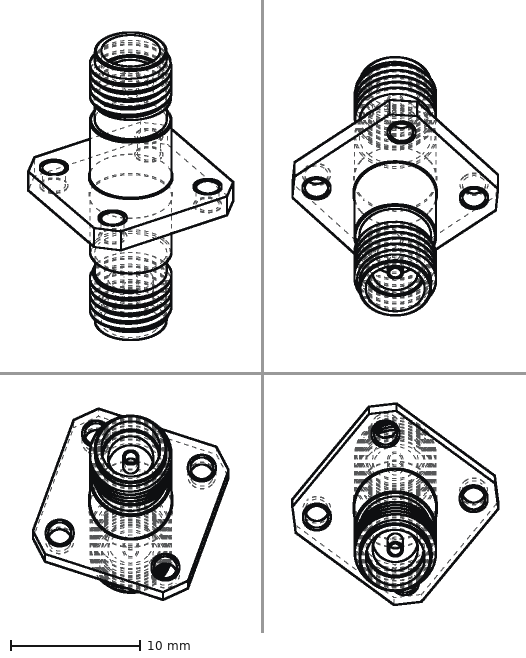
import cadquery as cq
import math

total_length = 24.82
end_z = total_length / 2

flange_width = 12.7
flange_thickness = 1.74
corner_cut = 1.51
hole_spacing = 8.65
hole_diameter = 1.79
hole_rim_diameter = 2.18
hole_rim_depth = 0.07

barrel_radius = 6.35 / 2
barrel_length = 12.15
neck_radius = 5.58 / 2
edge_chamfer = 0.1
flange_weld = 0.07

thread_pitch = 0.707
thread_low_z = 7.82
thread_high_z = 11.62
thread_lead_in = 0.3
thread_flank_angle = 30.0
crest_width = 0.09
crest_z = 11.05
root_overlap = 0.05

socket_radius = 4.57 / 2
socket_depth = 1.94
socket_floor_chamfer = 0.1
cavity_radius = 3.5 / 2
cavity_depth = 1.99
pin_radius = 1.2 / 2
pin_bore_radius = 0.95 / 2
pin_bore_depth = 1.5


def make_flange():
    """Square plate with cut corners and four holes recessed on both faces."""
    plate = cq.Workplane("XY").box(flange_width, flange_width, flange_thickness)
    plate = plate.edges("|Z").chamfer(corner_cut)
    for face in (">Z", "<Z"):
        plate = (
            plate.faces(face)
            .workplane(origin=(0, 0, 0))
            .rect(hole_spacing, hole_spacing, forConstruction=True)
            .vertices()
            .cboreHole(hole_diameter, hole_rim_diameter, hole_rim_depth)
        )
    return plate


def make_half_body():
    """Upper half of the solid turned body, from the middle of the flange up."""
    flange_top = flange_thickness / 2
    barrel_top = barrel_length / 2
    return (
        cq.Workplane("XZ")
        .moveTo(0, 0)
        .lineTo(barrel_radius + flange_weld, 0)
        .lineTo(barrel_radius + flange_weld, flange_top)
        .lineTo(barrel_radius, flange_top + flange_weld)
        .lineTo(barrel_radius, barrel_top - edge_chamfer)
        .lineTo(barrel_radius - edge_chamfer, barrel_top)
        .lineTo(neck_radius, barrel_top)
        .lineTo(neck_radius, end_z - edge_chamfer)
        .lineTo(neck_radius - edge_chamfer, end_z)
        .lineTo(0, end_z)
        .close()
        .revolve(360, (0, 0, 0), (0, 1, 0))
    )


def make_thread():
    """Right-hand helical ridge, trimmed to the thread length with tapered ends."""
    inner_radius = neck_radius - root_overlap
    half_crest = crest_width / 2
    half_root = half_crest + (barrel_radius - inner_radius) * math.tan(math.radians(thread_flank_angle))

    turns_below = math.ceil((crest_z - thread_low_z) / thread_pitch) + 1
    start_z = crest_z - turns_below * thread_pitch
    helix_height = (turns_below + 2) * thread_pitch

    helix = cq.Wire.makeHelix(thread_pitch, helix_height, inner_radius)
    ridge = (
        cq.Workplane("XZ")
        .moveTo(inner_radius, -half_root)
        .lineTo(barrel_radius, -half_crest)
        .lineTo(barrel_radius, half_crest)
        .lineTo(inner_radius, half_root)
        .close()
        .sweep(cq.Workplane(obj=helix), isFrenet=True)
        .rotate((0, 0, 0), (0, 0, 1), 180)
        .translate((0, 0, start_z))
    )

    envelope_radius = barrel_radius + root_overlap
    envelope = (
        cq.Workplane("XZ")
        .moveTo(0, thread_low_z)
        .lineTo(neck_radius, thread_low_z)
        .lineTo(envelope_radius, thread_low_z + thread_lead_in)
        .lineTo(envelope_radius, thread_high_z - thread_lead_in)
        .lineTo(neck_radius, thread_high_z)
        .lineTo(0, thread_high_z)
        .close()
        .revolve(360, (0, 0, 0), (0, 1, 0))
    )
    return ridge.intersect(envelope)


def make_socket():
    """Material removed from the upper end: stepped bore around a hollow pin."""
    floor_z = end_z - socket_depth
    cavity_z = floor_z - cavity_depth
    bore = (
        cq.Workplane("XY", origin=(0, 0, floor_z))
        .circle(socket_radius)
        .extrude(socket_depth)
        .faces("<Z")
        .edges()
        .chamfer(socket_floor_chamfer)
    )
    cavity = (
        cq.Workplane("XY", origin=(0, 0, cavity_z))
        .circle(cavity_radius)
        .circle(pin_radius)
        .extrude(cavity_depth)
    )
    pin_bore = (
        cq.Workplane("XY", origin=(0, 0, floor_z - pin_bore_depth))
        .circle(pin_bore_radius)
        .extrude(pin_bore_depth)
    )
    return bore.union(cavity).union(pin_bore)


upper_half = make_half_body().union(make_thread()).cut(make_socket())
lower_half = upper_half.rotate((0, 0, 0), (0, 1, 0), 180)

result = make_flange().union(upper_half).union(lower_half)